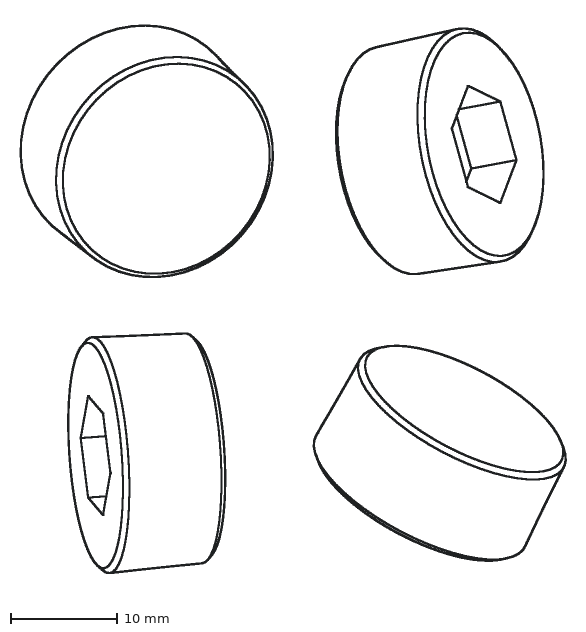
import cadquery as cq
import math

length = 10.0
nominal_diameter = 22.0
taper = 1 / 16
chamfer = 0.5
socket_across_flats = 10.0
socket_depth = 5.0

cone_length = length - 2 * chamfer
large_radius = (nominal_diameter + taper * cone_length / 2) / 2
small_radius = (nominal_diameter - taper * cone_length / 2) / 2


def make_body():
    """Revolve the chamfered, tapered half profile about the X axis."""
    return (
        cq.Workplane("XZ")
        .moveTo(0, 0)
        .lineTo(0, large_radius - chamfer)
        .lineTo(chamfer, large_radius)
        .lineTo(length - chamfer, small_radius)
        .lineTo(length, small_radius - chamfer)
        .lineTo(length, 0)
        .close()
        .revolve(360, (0, 0, 0), (1, 0, 0))
    )


def make_socket():
    """Blind hexagon entering at X = 0, with two of its corners level with the axis along Y."""
    across_corners = socket_across_flats / math.cos(math.pi / 6)
    return cq.Workplane("YZ").polygon(6, across_corners).extrude(socket_depth)


result = make_body().cut(make_socket())